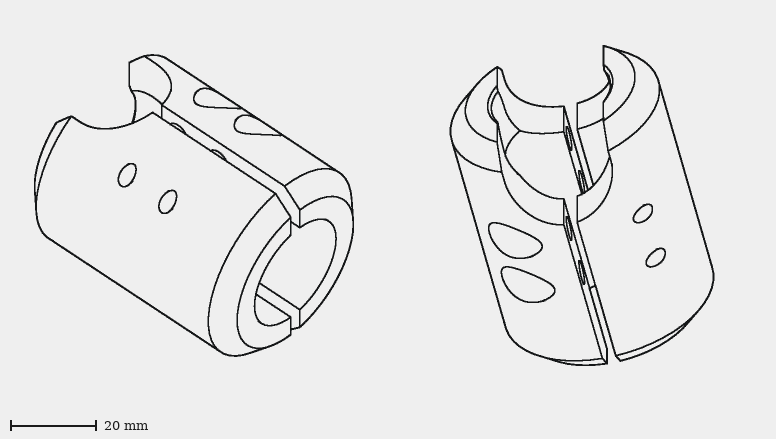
import cadquery as cq

length = 63.5
outer_diameter = 50.3
bore_diameter = 28.6
end_chamfer = 4.75
mouth_chamfer = 0.75
split_gap = 3.2

notch_width = 25.5
notch_center_x = -24.2
seat_diameter = 31.75

screw_spacing = 12.7
screw_height = 19.05
thread_diameter = 3.8
clearance_diameter = 5.6
head_diameter = 9.5
head_floor_y = 6.35

outer_radius = outer_diameter / 2
bore_radius = bore_diameter / 2
left_end = -length / 2
half_gap = split_gap / 2
screw_positions = [
    (x, z)
    for x in (-screw_spacing / 2, screw_spacing / 2)
    for z in (-screw_height, screw_height)
]


def sleeve():
    """Solid of revolution about X with a plain bore and chamfered outer ends."""
    blank = cq.Workplane("YZ").circle(outer_radius).extrude(length / 2, both=True)
    blank = blank.faces("<X or >X").chamfer(end_chamfer)
    bore = cq.Workplane("YZ").circle(bore_radius).extrude(length / 2, both=True)
    return blank.cut(bore)


def bore_mouth():
    """Cone that chamfers the bore at the -X end."""
    mouth_radius = bore_radius + mouth_chamfer
    return cq.Workplane(
        cq.Solid.makeCone(
            mouth_radius, bore_radius, mouth_chamfer, cq.Vector(left_end, 0, 0), cq.Vector(1, 0, 0)
        )
    )


def ball_seat():
    """Sphere that hollows a seat into the bore wall."""
    return cq.Workplane("XY").sphere(seat_diameter / 2).translate((notch_center_x, 0, 0))


def end_notch():
    """Round-bottomed slot, open at the -X end and cut through the full height."""
    straight_length = notch_center_x - left_end
    slot = cq.Workplane("XY").center(left_end + straight_length / 2, 0)
    slot = slot.rect(straight_length, notch_width).extrude(outer_radius, both=True)
    round_end = cq.Workplane("XY").center(notch_center_x, 0)
    round_end = round_end.circle(notch_width / 2).extrude(outer_radius, both=True)
    return slot.union(round_end)


def screw_cylinders(diameter, start_y, end_y):
    """Cylinders along Y at every screw position."""
    direction = cq.Vector(0, 1, 0)
    cylinders = cq.Workplane("XY")
    for x, z in screw_positions:
        start = cq.Vector(x, start_y, z)
        cylinders.add(cq.Solid.makeCylinder(diameter / 2, end_y - start_y, start, direction))
    return cylinders.combine()


def half_of_sleeve(side):
    """Half of the finished sleeve on the given side of the split: +1 for +Y, -1 for -Y."""
    body = sleeve().cut(bore_mouth()).cut(ball_seat()).cut(end_notch())
    depth = outer_radius - half_gap
    keep = cq.Workplane("XY").box(length, depth, outer_diameter)
    return body.intersect(keep.translate((0, side * (half_gap + depth / 2), 0)))


def make_threaded_half():
    """-Y half, with screw holes through it."""
    return half_of_sleeve(-1).cut(screw_cylinders(thread_diameter, -outer_radius, 0))


def make_head_half():
    """+Y half, with clearance holes and counterbores for the screw heads."""
    clearance_holes = screw_cylinders(clearance_diameter, 0, outer_radius)
    head_pockets = screw_cylinders(head_diameter, head_floor_y, outer_radius)
    return half_of_sleeve(1).cut(clearance_holes).cut(head_pockets)


threaded_half = make_threaded_half()
head_half = make_head_half()

result = cq.Compound.makeCompound([threaded_half.val(), head_half.val()])